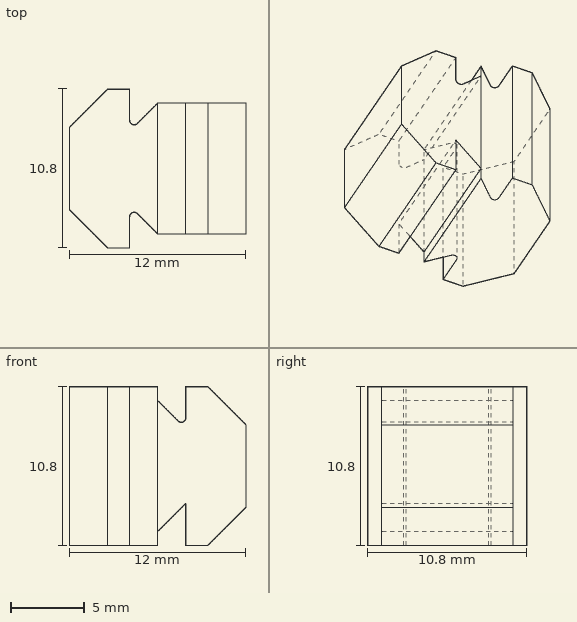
import cadquery as cq

length = 12.0
width = 10.8
cross_length = 8.9

chamfer = 2.6
wall_x = 1.9
root_radius = 0.3

half_length = length / 2
half_width = width / 2
half_neck = cross_length / 2
half_root = half_neck - wall_x


def rail(plane, rail_length):
    """Rail pointing along +X of the plane: chamfered head on a tapered neck."""
    upper = [
        (0, half_neck),
        (wall_x, half_root),
        (wall_x, half_width),
        (half_length - chamfer, half_width),
        (half_length, half_width - chamfer),
    ]
    lower = [(x, -y) for x, y in reversed(upper)]
    outline = cq.Workplane(plane).polyline(upper + lower).close()
    return outline.extrude(rail_length / 2, both=True)


upright_plane = cq.Plane(origin=(0, 0, 0), xDir=(-1, 0, 0), normal=(0, 0, 1))
upright = rail(upright_plane, width)
for side in (1, -1):
    root = cq.selectors.NearestToPointSelector((-wall_x, side * half_root, 0))
    upright = upright.edges(root).fillet(root_radius)

lying = rail("XZ", cross_length)
upper_root = cq.selectors.NearestToPointSelector((wall_x, 0, half_root))
lying = lying.edges(upper_root).fillet(root_radius)

result = upright.union(lying)